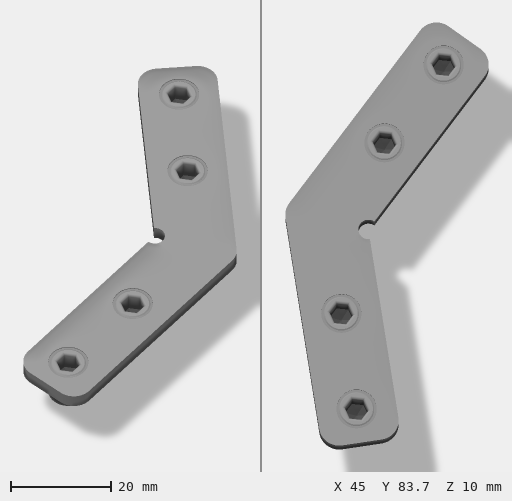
import cadquery as cq
import math

overall_length = 83.7
arm_width = 16.0
plate_thickness = 3.0
arm_turn = 45.0
corner_radius = 4.0
bend_radius = 4.0
notch_radius = 2.0

screw_diameter = 8.0
screw_length = 10.0
end_to_screw = 7.0
screw_spacing = 20.0
point_chamfer = 1.25
ledge_width = 0.5
head_height = 0.2
head_chamfer = 0.25

socket_width = 4.0
socket_rim_radius = 0.5
socket_depth = 4.0
socket_tip_height = 1.25
socket_tip_width = 0.01

half_turn_slope = math.tan(math.radians(arm_turn / 2))
arm_x = math.sin(math.radians(arm_turn))
arm_y = math.cos(math.radians(arm_turn))

corner_rise = (arm_width - corner_radius) * arm_x - corner_radius * arm_y + corner_radius
inner_length = (overall_length - corner_rise) / (1 + arm_y)


def slanted_point(along, across):
    """Point of the slanted arm: distance from the inside corner, and from its inner edge."""
    return (across * arm_y - along * arm_x, along * arm_y + across * arm_x)


def screw_positions():
    """Screw axes on the centre line of each arm."""
    across = arm_width / 2
    near_end = inner_length - end_to_screw
    near_bend = near_end - screw_spacing
    straight = [(across, -along) for along in (near_end, near_bend)]
    slanted = [slanted_point(along, across) for along in (near_end, near_bend)]
    return straight + slanted


def make_plate():
    """Bent plate with rounded corners, a relief notch and the screw holes."""
    outer_bend = (arm_width, arm_width * half_turn_slope)
    end_corners = [
        (0, -inner_length),
        (arm_width, -inner_length),
        slanted_point(inner_length, arm_width),
        slanted_point(inner_length, 0),
    ]
    outline = [(0, 0), *end_corners[:2], outer_bend, *end_corners[2:]]
    plate = cq.Workplane("XY").polyline(outline).close().extrude(-plate_thickness)

    def upright_edges(points):
        middles = [(x, y, -plate_thickness / 2) for x, y in points]
        edges = [plate.edges(cq.NearestToPointSelector(middle)).val() for middle in middles]
        return plate.newObject(edges)

    plate = upright_edges(end_corners).fillet(corner_radius)
    plate = upright_edges([outer_bend]).fillet(bend_radius)
    notch = cq.Workplane("XY").circle(notch_radius).extrude(-plate_thickness)
    holes = cq.Workplane("XY").pushPoints(screw_positions())
    holes = holes.circle(screw_diameter / 2).extrude(-plate_thickness)
    return plate.cut(notch).cut(holes)


def hexagon(workplane, across_flats):
    """Hexagon with two corners on the Y axis."""
    corner = across_flats / math.sqrt(3)
    angles = [math.radians(30 + 60 * i) for i in range(6)]
    points = [(corner * math.cos(a), corner * math.sin(a)) for a in angles]
    return workplane.polyline(points).close()


def make_screw():
    """Set screw with its head at Z = 0 on the Z axis."""
    radius = screw_diameter / 2
    head_base = radius - ledge_width
    profile = [
        (0, 0),
        (head_base - head_chamfer, 0),
        (head_base, -head_height),
        (radius, -head_height),
        (radius, point_chamfer - screw_length),
        (radius - point_chamfer, -screw_length),
        (0, -screw_length),
    ]
    screw = cq.Workplane("XZ").polyline(profile).close().revolve(360, (0, 0), (0, 1))
    walls = hexagon(cq.Workplane("XY"), socket_width).extrude(-socket_depth)
    tip_top = hexagon(cq.Workplane("XY").workplane(offset=-socket_depth), socket_width)
    tip = hexagon(tip_top.workplane(offset=-socket_tip_height), socket_tip_width).loft(ruled=True)
    screw = screw.cut(walls)
    mouth = screw.faces(">Z").wires(cq.selectors.LengthNthSelector(0))
    screw = mouth.fillet(socket_rim_radius)
    return screw.cut(tip)


plate = make_plate()
screw = make_screw()
screws = [screw.translate((x, y, 0)) for x, y in screw_positions()]

result = cq.Compound.makeCompound([plate.val(), *[s.val() for s in screws]])